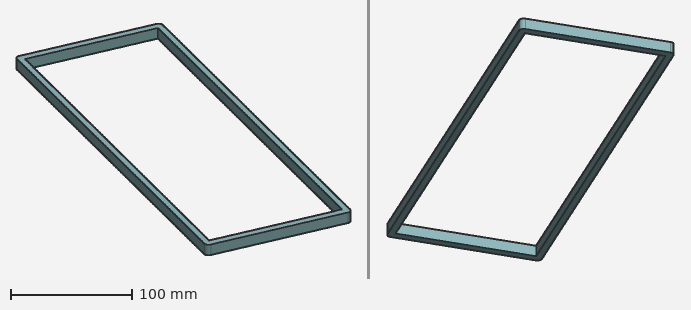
import cadquery as cq

LENGTH = 360.5
WIDTH = 133.7
HEIGHT = 10.0

END_RAIL = 7.0
SIDE_RAIL = 6.0

CORNER_RADIUS = 4.0


def outer_block():
    """Solid block with rounded vertical corners."""
    block = cq.Workplane("XY").box(LENGTH, WIDTH, HEIGHT)
    return block.edges("|Z").fillet(CORNER_RADIUS)


def opening():
    """Sharp-cornered window that passes through the full height."""
    window_length = LENGTH - 2 * END_RAIL
    window_width = WIDTH - 2 * SIDE_RAIL
    return cq.Workplane("XY").box(window_length, window_width, HEIGHT)


result = outer_block().cut(opening())